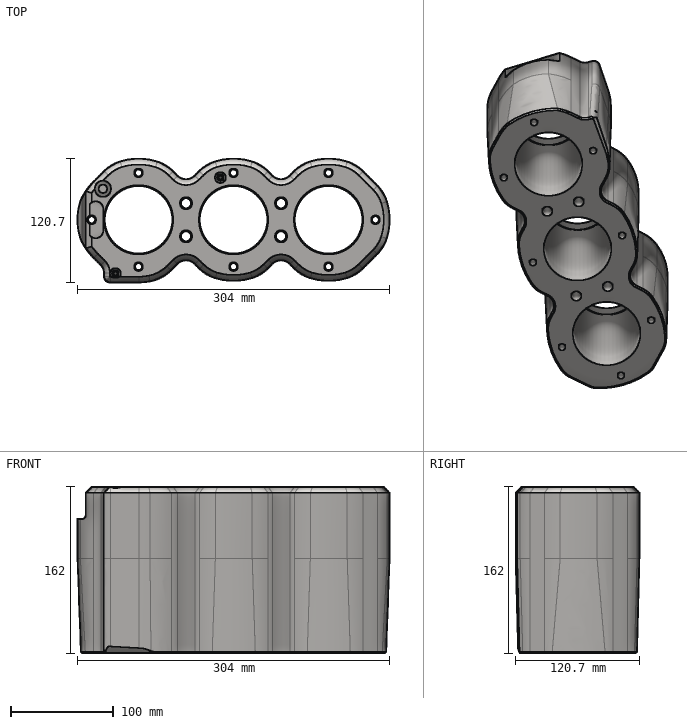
import cadquery as cq
import math

ROOT_TWO = math.sqrt(2)

height = 162.0
parting_height = 92.5
cylinder_pitch = 92.5
left_center = -cylinder_pitch
top_chamfer = 5.8
bottom_chamfer = 1.5
neck_fillet = 12.0

lobe_reach = 59.5
lobe_radius = 59.5
base_arc_radius = 79.0
flat_distance = 57.2
arc_half_width = 18.0
side_inset = 2.5
side_base_half_width = 21.0
end_inset = 3.3
end_base_half_width = 26.0
left_flat_half_length = 5.0

pad_reach = 61.2
pad_width = 33.8
pad_arc_half_width = 11.0
pad_base_half_width = 12.0
pad_corner_radius = 6.0
pad_inner_fillet = 10.5
pad_bevel_height = 7.0
pad_bevel_depth = 2.7
pad_bevel_length = 61.0
pad_bevel_fade = 0.5

step_face_x = -144.0
step_floor = 131.0
step_fillet = 3.5

bore_diameter = 67.5
bore_lower_diameter = 65.7
bore_depth = 20.0
stud_offset = 45.5
stud_diameter = 8.5
stud_lower_diameter = 6.7
bridge_hole_offset = 16.0
bridge_hole_diameter = 12.0
bridge_hole_lower_diameter = 9.7
hole_step_depth = 30.5

recess_right_x = -127.0
recess_length = 36.0
recess_width = 14.5
recess_depth = 1.8
dowel_sink_diameter = 10.5
dowel_diameter = 6.7
dowel_depth = 7.5
dowel_core_diameter = 3.5
dowel_core_depth = 12.2
dowel_places = [(-12.8, 41.0), (left_center - 22.5, -52.3)]
ring_place = (left_center - 34.7, 30.0)
ring_diameter = 15.8
ring_core_diameter = 8.2
ring_depth = 5.0


def turn(point, quarter):
    """Rotate a point about the origin by a number of quarter turns."""
    x, y = point
    for _ in range(quarter):
        x, y = -y, x
    return x, y


def mirror(point):
    """Reflect a point across the Y axis."""
    return -point[0], point[1]


def smooth_half_length(reach, half_width):
    """Flat half length at which the blend arc is also tangent to the round wall."""
    lean = math.pi / 4 - math.asin(half_width / lobe_radius)
    offset = (reach - lobe_radius) / ROOT_TWO
    shift = (lobe_radius + offset - flat_distance) / (1 - math.cos(lean))
    return shift * math.sin(lean) + offset


def blend_middle(start, end):
    """Middle of the arc from start that meets the 45 degree flat tangentially at end."""
    run = end[0] - start[0]
    rise = end[1] - start[1]
    radius = (run**2 + rise**2) / (ROOT_TWO * (run + rise))
    center_x = end[0] - radius / ROOT_TWO
    center_y = end[1] - radius / ROOT_TWO
    start_angle = math.atan2(start[1] - center_y, start[0] - center_x)
    angle = (start_angle + math.pi / 4) / 2
    return center_x + radius * math.cos(angle), center_y + radius * math.sin(angle)


def lobe_outline(work, center_x, walls, arc_radius):
    """Closed outline of four walls, each a (reach, arc half width, flat half length)."""
    for quarter, (reach, half_width, flat_half_length) in enumerate(walls):
        sagitta = arc_radius - math.sqrt(arc_radius**2 - half_width**2)
        arc_end = (half_width, reach - sagitta)
        flat_end = (
            (flat_distance - flat_half_length) / ROOT_TWO,
            (flat_distance + flat_half_length) / ROOT_TWO,
        )
        middle = blend_middle(arc_end, flat_end)
        half = [flat_end, middle, arc_end]
        local = half + [(0, reach)] + [mirror(point) for point in reversed(half)]
        turned = [turn(point, quarter) for point in local]
        points = [(center_x + x, y) for x, y in turned]

        work = work.moveTo(*points[0]) if quarter == 0 else work.lineTo(*points[0])
        for through in (1, 3, 5):
            work = work.threePointArc(points[through], points[through + 1])
    return work.close()


def lobe(
    center_x,
    front_reach=lobe_reach,
    front_top=arc_half_width,
    front_base=side_base_half_width,
    left_flat=None,
):
    """Upright upper lobe on a drafted lower lobe."""
    plain_flat = smooth_half_length(lobe_reach, arc_half_width)
    front_flat = smooth_half_length(front_reach, front_top)
    left_flat = left_flat or plain_flat

    top_walls = [
        (lobe_reach, arc_half_width, plain_flat),
        (lobe_reach, arc_half_width, left_flat),
        (front_reach, front_top, front_flat),
        (lobe_reach, arc_half_width, plain_flat),
    ]
    base_walls = [
        (lobe_reach - side_inset, side_base_half_width, plain_flat),
        (lobe_reach - end_inset, end_base_half_width, left_flat),
        (front_reach - side_inset, front_base, front_flat),
        (lobe_reach - end_inset, end_base_half_width, plain_flat),
    ]
    parting = cq.Workplane("XY").workplane(offset=parting_height)
    upper = lobe_outline(parting, center_x, top_walls, lobe_radius).extrude(height - parting_height)
    lower = lobe_outline(cq.Workplane("XY"), center_x, base_walls, base_arc_radius)
    lower = lower.workplane(offset=parting_height)
    lower = lobe_outline(lower, center_x, top_walls, lobe_radius).loft(ruled=True)
    return upper.union(lower)


def pad():
    """Full-height corner beside the front left flat, drafted below the parting height."""
    edge_x = left_center - pad_width
    hollow_x = edge_x - pad_inner_fillet
    hollow_y = pad_width + pad_inner_fillet - (flat_distance + pad_inner_fillet) * ROOT_TWO

    def on_hollow(degrees):
        angle = math.radians(degrees)
        return hollow_x + pad_inner_fillet * math.cos(angle), hollow_y + pad_inner_fillet * math.sin(angle)

    def outline(work, reach):
        corner_x = edge_x + pad_corner_radius
        corner_y = pad_corner_radius - reach
        corner_middle = (corner_x - pad_corner_radius / ROOT_TWO, corner_y - pad_corner_radius / ROOT_TWO)
        return (
            work.moveTo(left_center, on_hollow(45)[1])
            .lineTo(*on_hollow(45))
            .threePointArc(on_hollow(22.5), on_hollow(0))
            .lineTo(edge_x, corner_y)
            .threePointArc(corner_middle, (corner_x, -reach))
            .lineTo(left_center, -reach)
            .close()
        )

    upper = outline(cq.Workplane("XY").workplane(offset=parting_height), pad_reach)
    upper = upper.extrude(height - parting_height)
    lower = outline(cq.Workplane("XY"), pad_reach - side_inset)
    lower = outline(lower.workplane(offset=parting_height), pad_reach).loft(ruled=True)
    return upper.union(lower)


def pad_bevel():
    """Wedge along the bottom front edge of the pad, shrinking to the right."""
    front = side_inset - pad_reach
    outside = -2 * pad_reach

    def section(work, scale):
        return (
            work.moveTo(front + pad_bevel_depth * scale, 0)
            .lineTo(outside, 0)
            .lineTo(outside, pad_bevel_height * scale)
            .lineTo(front, pad_bevel_height * scale)
            .close()
        )

    wedge = section(cq.Workplane("YZ").workplane(offset=left_center - pad_width), 1)
    return section(wedge.workplane(offset=pad_bevel_length), pad_bevel_fade).loft(ruled=True)


def end_step():
    """Block that flattens the upper left end, with a hollow fillet along its floor."""
    size = 2 * lobe_reach
    block = cq.Workplane("XY").box(size, size, height, centered=(True, True, False))
    block = block.translate((step_face_x - size / 2, 0, step_floor))
    return block.edges(">X and <Z").fillet(step_fillet)


def holes(places, diameter, depth=height):
    """Round holes sunk from the deck."""
    deck = cq.Workplane("XY").workplane(offset=height)
    return deck.pushPoints(places).circle(diameter / 2).extrude(-depth)


def stepped_holes(places, diameter, lower_diameter, step_depth):
    """Through holes that are wider down to the step depth."""
    return holes(places, diameter, step_depth).union(holes(places, lower_diameter))


def dowel_holes():
    """Blind stepped holes with a 45 degree countersink."""
    sink_depth = (dowel_sink_diameter - dowel_diameter) / 2
    deck = cq.Workplane("XY").workplane(offset=height).pushPoints(dowel_places)
    sink = deck.circle(dowel_sink_diameter / 2).extrude(-sink_depth, taper=45)
    wide = holes(dowel_places, dowel_diameter, dowel_depth)
    return sink.union(wide).union(holes(dowel_places, dowel_core_diameter, dowel_core_depth))


def ring_groove():
    """Round groove that leaves a core standing level with the deck."""
    return holes([ring_place], ring_diameter, ring_depth).cut(
        holes([ring_place], ring_core_diameter, ring_depth)
    )


def deck_recess():
    """Shallow slot that runs out through the chamfer of the left end."""
    deck = cq.Workplane("XY").workplane(offset=height).center(recess_right_x - recess_width / 2, 0)
    return deck.slot2D(recess_length, recess_width, 90).extrude(-recess_depth)


body = lobe(left_center, pad_reach, pad_arc_half_width, pad_base_half_width, left_flat_half_length)
body = body.union(lobe(0)).union(lobe(cylinder_pitch))
neck_x = cylinder_pitch / 2
neck_y = flat_distance * ROOT_TWO - neck_x
pick = 0.3
for x in (-neck_x, neck_x):
    for y in (-neck_y, neck_y):
        neck = cq.selectors.BoxSelector((x - pick, y - pick, 0), (x + pick, y + pick, height))
        body = body.edges(neck).fillet(neck_fillet)

body = body.cut(end_step()).union(pad())
body = body.faces(">Z").chamfer(top_chamfer)
body = body.faces("<Z").chamfer(bottom_chamfer)
body = body.cut(pad_bevel())

signs = (-1, 1)
bore_places = [(left_center, 0), (0, 0), (cylinder_pitch, 0)]
stud_places = [(x, sign * stud_offset) for x, _ in bore_places for sign in signs]
stud_places += [(sign * (cylinder_pitch + stud_offset), 0) for sign in signs]
bridge_places = [(x_sign * neck_x, y_sign * bridge_hole_offset) for x_sign in signs for y_sign in signs]
body = body.cut(stepped_holes(bore_places, bore_diameter, bore_lower_diameter, bore_depth))
body = body.cut(stepped_holes(stud_places, stud_diameter, stud_lower_diameter, hole_step_depth))
body = body.cut(
    stepped_holes(bridge_places, bridge_hole_diameter, bridge_hole_lower_diameter, hole_step_depth)
)

body = body.cut(dowel_holes()).cut(ring_groove()).cut(deck_recess())

result = body